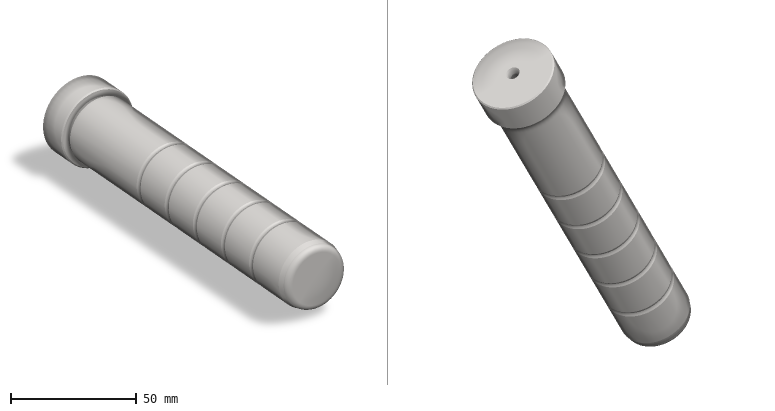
import cadquery as cq
import math

length = 170.0
head_radius = 17.5
head_length = 14.0
head_chamfer = 0.5
shaft_radius = 15.0

relief_depth = 0.7
relief_floor_length = 1.4
relief_runout = 0.7

groove_count = 5
first_groove_x = 65.0
groove_pitch = 20.0
groove_width = 2.9
groove_depth = 0.7

lead_length = 5.1
lead_drop = 0.7
tip_radius = 2.5

mouth_radius = 2.9
pilot_radius = 1.5
cone_half_angle = math.radians(30)
pilot_end_depth = 6.8
drill_half_angle = math.radians(59)


def add_groove(profile, center_x):
    """Continue the shaft outline through one V groove."""
    half_width = groove_width / 2
    return (
        profile.lineTo(center_x - half_width, shaft_radius)
        .lineTo(center_x, shaft_radius - groove_depth)
        .lineTo(center_x + half_width, shaft_radius)
    )


def make_pin():
    """Revolve the half section of the pin about the X axis."""
    relief_radius = shaft_radius - relief_depth
    relief_floor_end = head_length + relief_floor_length
    profile = (
        cq.Workplane("XY")
        .lineTo(0, head_radius - head_chamfer)
        .lineTo(head_chamfer, head_radius)
        .lineTo(head_length - head_chamfer, head_radius)
        .lineTo(head_length, head_radius - head_chamfer)
        .lineTo(head_length, relief_radius)
        .lineTo(relief_floor_end, relief_radius)
        .lineTo(relief_floor_end + relief_runout, shaft_radius)
    )
    for index in range(groove_count):
        profile = add_groove(profile, first_groove_x + index * groove_pitch)

    lead_radius = shaft_radius - lead_drop
    tip_center_x = length - tip_radius
    tip_center_y = lead_radius - tip_radius
    diagonal = tip_radius * math.sqrt(0.5)
    profile = (
        profile.lineTo(length - lead_length, shaft_radius)
        .lineTo(tip_center_x, lead_radius)
        .threePointArc(
            (tip_center_x + diagonal, tip_center_y + diagonal),
            (length, tip_center_y),
        )
        .lineTo(length, 0)
        .close()
    )
    return profile.revolve(360, (0, 0, 0), (1, 0, 0))


def make_center_drilling():
    """Solid of the material removed by the centre drill."""
    cone_depth = (mouth_radius - pilot_radius) / math.tan(cone_half_angle)
    point_length = pilot_radius / math.tan(drill_half_angle)
    return (
        cq.Workplane("XY")
        .lineTo(0, mouth_radius)
        .lineTo(cone_depth, pilot_radius)
        .lineTo(pilot_end_depth, pilot_radius)
        .lineTo(pilot_end_depth + point_length, 0)
        .close()
        .revolve(360, (0, 0, 0), (1, 0, 0))
    )


result = make_pin().cut(make_center_drilling())